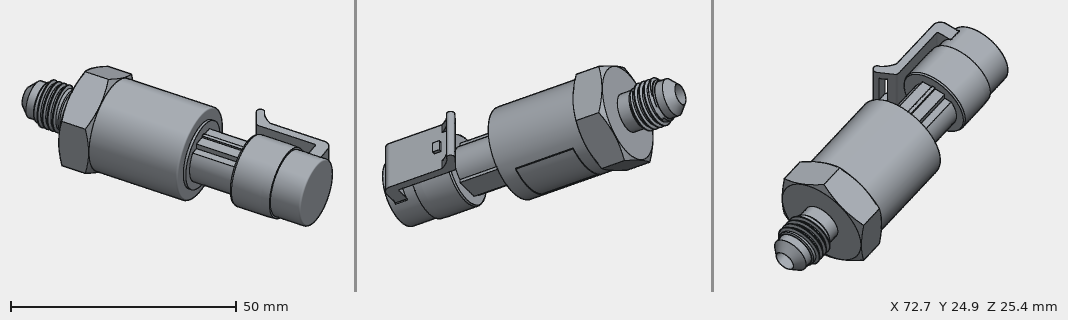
import cadquery as cq
import math

total_length = 72.7
flare_end = 2.0
thread_start = 4.0
thread_end = 10.6
hex_start = 13.7
hex_end = 21.3
barrel_end = 43.5
flange_end = 44.1
collar_start = 55.3
collar_draft_start = 63.2
collar_end = 65.2

bore_diameter = 4.8
bore_depth = hex_start
nose_diameter = 8.7
shank_diameter = 9.0
thread_root_diameter = 9.6
thread_diameter = 11.0
thread_base_width = 0.95
thread_crest_width = 0.2
thread_overlap = 0.1
thread_runout = 1.1
thread_clearance = 0.15
helix_inset = 0.6
helix_turns = 4.3
hex_corner_diameter = 25.4
hex_face_diameter = 21.75
hex_chamfer_length = 0.9

barrel_diameter = 21.8
barrel_fillet = 0.4
label_start = 24.4
label_end = 39.3
label_width = 11.35
label_depth = 0.2

flange_diameter = 16.2
neck_back_diameter = 11.0
neck_front_diameter = 12.65
neck_front_height = 8.15
neck_core_width = 6.1
neck_core_height = 10.75
key_width = 0.9
key_top = 5.8

collar_diameter = 16.9
collar_end_diameter = 16.65
collar_chamfer = 0.4
cap_diameter = 15.7
cap_fillet = 0.4

clip_width = 12.0
clip_bottom = collar_diameter / 2
clip_thickness = 1.95
clip_top = clip_bottom + clip_thickness
lever_bend_x = 53.15
lever_bend_radius = 0.9
lever_tip_x = 51.75
lever_tip_radius = 0.95
lever_reach = 13.9
lever_tip_y = lever_reach - lever_tip_radius
lever_root_x = 55.55
lever_curve_x = 53.7
lever_curve_y = 11.7
hook_inner_x = 68.05
hook_outer_x = 71.1
hook_bottom = 4.6
hook_outer_radius = 2.0
hook_inner_radius = 0.35
window_width = 7.7
window_top = 12.0
nub_start = 55.75
nub_length = 1.75
nub_width = 2.5
nub_height = 0.8


def disc(diameter, start, end):
    """Cylinder along X between two stations."""
    return cq.Workplane("YZ", origin=(start, 0, 0)).circle(diameter / 2).extrude(end - start)


def turned(points):
    """Solid of revolution about X from (station, radius) points, closed along the axis."""
    outline = [(points[0][0], 0)] + points + [(points[-1][0], 0)]
    return cq.Workplane("XY").polyline(outline).close().revolve(360, (0, 0, 0), (1, 0, 0))


def block(start, end, y_low, y_high, height):
    """Box between two stations, centred on Z = 0."""
    return (
        cq.Workplane("XY", origin=((start + end) / 2, (y_low + y_high) / 2, 0))
        .box(end - start, y_high - y_low, height)
    )


def make_thread():
    """Right-handed helical thread, faded by a cone at each end."""
    root = thread_root_diameter / 2
    crest = thread_diameter / 2
    helix_length = thread_end - thread_start - 2 * helix_inset
    base = root - thread_overlap
    path = cq.Wire.makeHelix(helix_length / helix_turns, helix_length, base)
    ridge = (
        cq.Workplane("XZ")
        .polyline([
            (base, -thread_base_width / 2),
            (crest, -thread_crest_width / 2),
            (crest, thread_crest_width / 2),
            (base, thread_base_width / 2),
        ])
        .close()
        .sweep(cq.Workplane(obj=path), isFrenet=True)
        .rotate((0, 0, 0), (0, 1, 0), 90)
        .translate((thread_start + helix_inset, 0, 0))
    )
    core = disc(thread_root_diameter, thread_start, thread_end)
    clear = crest + thread_clearance
    envelope = turned([
        (thread_start, shank_diameter / 2),
        (thread_start + thread_runout, clear),
        (thread_end - thread_runout, clear),
        (thread_end, shank_diameter / 2),
    ])
    return core.union(ridge).intersect(envelope)


def make_hexagon():
    """Hexagon with corners up and down, chamfered at both ends."""
    prism = (
        cq.Workplane("YZ", origin=(hex_start, 0, 0))
        .transformed(rotate=(0, 0, 90))
        .polygon(6, hex_corner_diameter)
        .extrude(hex_end - hex_start)
    )
    envelope = turned([
        (hex_start, hex_face_diameter / 2),
        (hex_start + hex_chamfer_length, hex_corner_diameter / 2),
        (hex_end - hex_chamfer_length, hex_corner_diameter / 2),
        (hex_end, hex_face_diameter / 2),
    ])
    return prism.intersect(envelope)


def make_fitting():
    """Flared nose, thread, shank and hexagon with a blind bore from the tip."""
    nose = turned([
        (0, bore_diameter / 2),
        (flare_end, nose_diameter / 2),
        (thread_start, nose_diameter / 2),
    ])
    shank = disc(shank_diameter, thread_end, hex_start)
    body = nose.union(make_thread()).union(shank).union(make_hexagon())
    return body.cut(disc(bore_diameter, 0, bore_depth))


def make_barrel():
    """Round barrel with a shallow curved recess for the label underneath."""
    body = disc(barrel_diameter, hex_end, barrel_end).faces(">X").edges().fillet(barrel_fillet)
    label_area = (
        block(label_start, label_end, -label_width / 2, label_width / 2, barrel_diameter)
        .translate((0, 0, -barrel_diameter / 2))
    )
    floor = disc(barrel_diameter - 2 * label_depth, label_start, label_end)
    return body.cut(label_area.cut(floor))


def make_plug():
    """Flange and a neck made of two round lobes, a rectangular core and a key on top."""
    reach = neck_front_diameter
    front_lobe = disc(neck_front_diameter, flange_end, collar_start).intersect(
        block(flange_end, collar_start, -reach, 0, neck_front_height)
    )
    back_lobe = disc(neck_back_diameter, flange_end, collar_start).intersect(
        block(flange_end, collar_start, 0, reach, neck_core_height)
    )
    core = block(
        flange_end, collar_start, -neck_core_width / 2, neck_core_width / 2, neck_core_height
    )
    key = (
        block(flange_end, collar_start, -key_width / 2, key_width / 2, key_top)
        .translate((0, 0, key_top / 2))
    )
    flange = disc(flange_diameter, barrel_end, flange_end)
    return flange.union(core).union(front_lobe).union(back_lobe).union(key)


def make_connector():
    """Collar with a slight draft at its back, then the cap with an open flat seat for the clip hook."""
    collar = turned([
        (collar_start, collar_diameter / 2 - collar_chamfer / 2),
        (collar_start + collar_chamfer, collar_diameter / 2),
        (collar_draft_start, collar_diameter / 2),
        (collar_end, collar_end_diameter / 2),
    ])
    cap = disc(cap_diameter, collar_end, total_length).faces(">X").edges().fillet(cap_fillet)
    hook_seat = block(hook_inner_x, hook_outer_x, hook_bottom, cap_diameter, cap_diameter)
    return collar.union(cap).cut(hook_seat)


def make_clip():
    """Latch clip: sloped lever with a window, flat plate with a nub, and a hook."""
    bend_dx = lever_bend_x - lever_tip_x
    bend_dy = clip_bottom - lever_tip_y
    bend_distance = math.hypot(bend_dx, bend_dy)
    tangent_angle = math.atan2(bend_dy, bend_dx) - math.acos(lever_tip_radius / bend_distance)

    def tip_point(angle):
        return (
            lever_tip_x + lever_tip_radius * math.cos(angle),
            lever_tip_y + lever_tip_radius * math.sin(angle),
        )

    profile = (
        cq.Workplane("XY", origin=(0, 0, -clip_width / 2))
        .moveTo(lever_bend_x, clip_bottom)
        .lineTo(*tip_point(tangent_angle))
        .threePointArc(tip_point(math.pi / 2), tip_point(0))
        .threePointArc((lever_curve_x, lever_curve_y), (lever_root_x, clip_top))
        .lineTo(hook_outer_x - hook_outer_radius, clip_top)
        .radiusArc((hook_outer_x, clip_top - hook_outer_radius), hook_outer_radius)
        .lineTo(hook_outer_x, hook_bottom)
        .lineTo(hook_inner_x, hook_bottom)
        .lineTo(hook_inner_x, clip_bottom - hook_inner_radius)
        .radiusArc((hook_inner_x - hook_inner_radius, clip_bottom), -hook_inner_radius)
        .close()
    )
    window = block(lever_tip_x - clip_thickness, lever_root_x, clip_top, window_top, window_width)
    nub = block(nub_start, nub_start + nub_length, clip_top, clip_top + nub_height, nub_width)
    bend_edge = cq.selectors.NearestToPointSelector((lever_bend_x, clip_bottom, 0))
    strip = profile.extrude(clip_width).edges(bend_edge).fillet(lever_bend_radius)
    return strip.cut(window).union(nub)


fitting = make_fitting()
barrel = make_barrel()
plug = make_plug()
connector = make_connector()
clip = make_clip()

result = cq.Compound.makeCompound([
    fitting.solids().val(),
    barrel.solids().val(),
    plug.solids().val(),
    connector.solids().val(),
    clip.solids().val(),
])